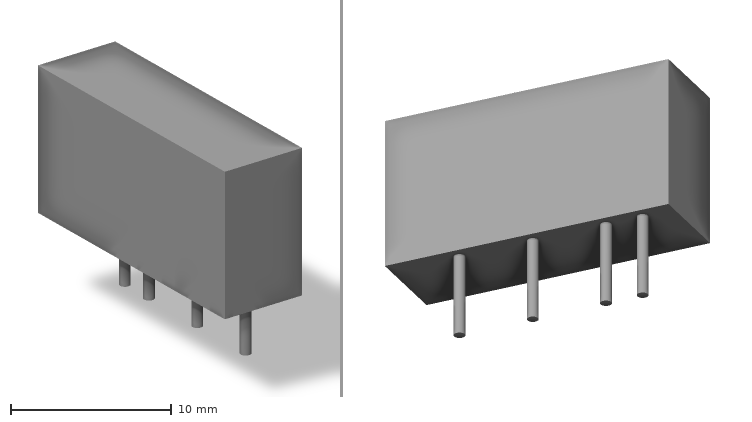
import cadquery as cq

housing_length = 19.66
housing_width = 5.99
housing_height = 10.15

pin_diameter = 0.74
pin_length = 5.5
pin_pitch = 2.54
pin_steps = [-3, -2, 0, 2]
pin_row_inset = 0.88
pin_row_y = housing_width / 2 - pin_row_inset


def make_housing():
    """Plain rectangular block standing on Z = 0."""
    return cq.Workplane("XY").box(
        housing_length, housing_width, housing_height, centered=(True, True, False)
    )


def make_pin(step):
    """Straight round pin hanging from the housing underside."""
    return (
        cq.Workplane("XY")
        .center(step * pin_pitch, pin_row_y)
        .circle(pin_diameter / 2)
        .extrude(-pin_length)
    )


housing = make_housing()
pins = [make_pin(step) for step in pin_steps]

result = cq.Compound.makeCompound([housing.val(), *[pin.val() for pin in pins]])